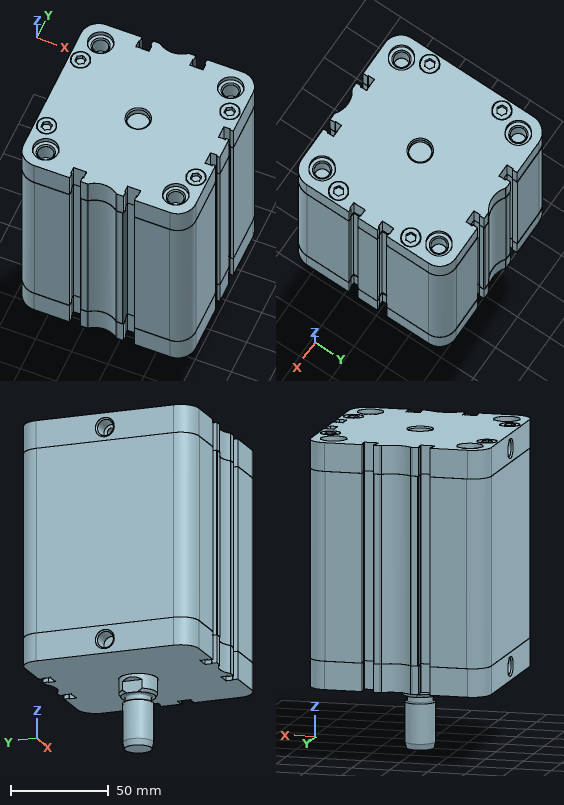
import cadquery as cq
import math

WIDTH = 95.5
BODY_HEIGHT = 128.6
CAP_HEIGHT = 15.0
BARREL_HEIGHT = BODY_HEIGHT - 2 * CAP_HEIGHT
BARREL_CORNER_RADIUS = 10.3
CAP_CORNER_RADIUS = 10.0
CAP_INSET = 0.2
HALF = WIDTH / 2

Y_SLOT_OFFSET = 15.0
Y_SLOT_MOUTH = 6.0
Y_SLOT_INNER = 7.1
Y_SLOT_LIP = 3.2
Y_SLOT_DEPTH = 6.8
X_SLOT_OFFSET = 8.8
X_SLOT_MOUTH = 5.6
X_SLOT_LIP = 1.8
BARREL_X_SLOT_INNER = 6.6
BARREL_X_SLOT_DEPTH = 5.0
CAP_X_SLOT_INNER = 7.0
CAP_X_SLOT_DEPTH = 5.5
SLOT_CHAMFER = 0.5

CHANNEL_DIAMETER = 25.0
CHANNEL_DEPTH = 2.8
CHANNEL_BEVEL_WIDTH = 0.7
CHANNEL_BEVEL_DEPTH = 0.2

MOUNT_OFFSET = 36.0
MOUNT_BORE_DIAMETER = 13.5
MOUNT_BORE_DEPTH = 2.7
MOUNT_CONE_DIAMETER = 9.8
MOUNT_HOLE_DIAMETER = 8.3
MOUNT_HOLE_DEPTH = 13.3

SCREW_X = 41.3
SCREW_Y = 22.2
SCREW_SEAT_DIAMETER = 10.3
SCREW_HEAD_DIAMETER = 9.8
SCREW_GAP_DEPTH = 1.7
HEX_ACROSS_FLATS = 5.0
HEX_DEPTH = 2.5

CENTRE_CONE_DIAMETER = 13.5
CENTRE_DIAMETER = 12.0
CENTRE_DEPTH = 4.0

PORT_CONE_DIAMETER = 10.3
PORT_DIAMETER = 8.6
PORT_DEPTH = 10.0
ROD_CAP_PORT_Z = 7.5
REAR_CAP_PORT_Z = 7.1
PORT_INNER_DIAMETER = 5.0
PORT_INNER_DEPTH = 5.0

TOTAL_LENGTH = 166.0
ROD_LENGTH = TOTAL_LENGTH - BODY_HEIGHT
COLLAR_DIAMETER = 20.0
COLLAR_LENGTH = 9.5
COLLAR_CHAMFER_LENGTH = 1.7
COLLAR_CHAMFER_DEPTH = 1.0
NECK_DIAMETER = 13.5
NECK_END = 13.1
NECK_FILLET = 0.5
THREAD_DIAMETER = 16.0
TIP_CHAMFER_LENGTH = 3.3
TIP_CHAMFER_DEPTH = 0.8
FLAT_WIDTH = 17.0
FLAT_START = 3.2
FLAT_RAMP_LENGTH = 1.5


def t_slot(mouth, inner, lip, depth, height):
    """T-slot cutter opening at y = 0 and running into +Y."""
    neck = cq.Workplane("XY").box(mouth, 2 * lip, height, centered=(True, True, False))
    chamber = cq.Workplane("XY").box(inner, depth - lip, height, centered=(True, False, False))
    return neck.union(chamber.translate((0, lip, 0)))


def both_y_sides(cutter):
    """The cutter shaped for the -Y side, together with its half-turn copy for the +Y side."""
    return cutter.union(cutter.rotate((0, 0, 0), (0, 0, 1), 180))


def round_channel(side, height):
    """Round channel cutter for the Y side at y = -side, with a bevel along both edges."""
    radius = CHANNEL_DIAMETER / 2
    floor_y = CHANNEL_DEPTH - side
    bevel_y = CHANNEL_BEVEL_DEPTH - side
    arc_x = math.sqrt(radius**2 - (bevel_y - floor_y + radius) ** 2)
    mouth_x = arc_x + CHANNEL_BEVEL_WIDTH
    outline = (
        cq.Workplane("XY")
        .moveTo(-mouth_x, -side)
        .lineTo(-arc_x, bevel_y)
        .threePointArc((0, floor_y), (arc_x, bevel_y))
        .lineTo(mouth_x, -side)
        .close()
    )
    return outline.extrude(height)


def housing_section(depth_y, height, corner_radius, x_slot_inner, x_slot_depth):
    """Rounded prism with its T-slots and round channels."""
    side = depth_y / 2
    section = cq.Workplane("XY").rect(WIDTH, depth_y).extrude(height)
    section = section.edges("|Z").fillet(corner_radius)
    section = section.cut(both_y_sides(round_channel(side, height)))

    y_slot = t_slot(Y_SLOT_MOUTH, Y_SLOT_INNER, Y_SLOT_LIP, Y_SLOT_DEPTH, height)
    x_slot = t_slot(X_SLOT_MOUTH, x_slot_inner, X_SLOT_LIP, x_slot_depth, height)
    for x in (-Y_SLOT_OFFSET, Y_SLOT_OFFSET):
        section = section.cut(both_y_sides(y_slot.translate((x, -HALF, 0))))
    for y in (-X_SLOT_OFFSET, X_SLOT_OFFSET):
        cutter = x_slot.translate((y, -HALF, 0))
        section = section.cut(cutter.rotate((0, 0, 0), (0, 0, 1), 90))
    return section


def cap_section():
    """Plain end cap blank standing on z = 0."""
    depth_y = WIDTH - 2 * CAP_INSET
    return housing_section(depth_y, CAP_HEIGHT, CAP_CORNER_RADIUS, CAP_X_SLOT_INNER, CAP_X_SLOT_DEPTH)


def countersunk_hole(cone_diameter, hole_diameter, depth):
    """Cutter along -Z from z = 0: 45 degree countersink, then a straight hole."""
    cone_radius = cone_diameter / 2
    hole_radius = hole_diameter / 2
    cone_depth = cone_radius - hole_radius
    profile = [(0, 0), (cone_radius, 0), (hole_radius, -cone_depth), (hole_radius, -depth), (0, -depth)]
    return cq.Workplane("XZ").polyline(profile).close().revolve(360, (0, 0, 0), (0, 1, 0))


def port(port_z):
    """Countersunk port cutter, entering the -X face at the given height."""
    cutter = countersunk_hole(PORT_CONE_DIAMETER, PORT_DIAMETER, PORT_DEPTH)
    cutter = cutter.rotate((0, 0, 0), (0, 1, 0), -90)
    return cutter.translate((-HALF, 0, port_z))


def make_barrel():
    barrel = housing_section(
        WIDTH, BARREL_HEIGHT, BARREL_CORNER_RADIUS, BARREL_X_SLOT_INNER, BARREL_X_SLOT_DEPTH
    )

    edge_x = Y_SLOT_OFFSET - Y_SLOT_MOUTH / 2
    profile = [(edge_x, -HALF), (edge_x - SLOT_CHAMFER, -HALF), (edge_x, SLOT_CHAMFER - HALF)]
    chamfer = cq.Workplane("XY").polyline(profile).close().extrude(BARREL_HEIGHT)
    barrel = barrel.cut(both_y_sides(chamfer)).cut(both_y_sides(chamfer.mirror("YZ")))
    return barrel.translate((0, 0, CAP_HEIGHT))


def make_rod_cap():
    cap = cap_section().cut(port(ROD_CAP_PORT_Z))
    rod_hole = cq.Workplane("XY").circle(COLLAR_DIAMETER / 2).extrude(CAP_HEIGHT)
    return cap.cut(rod_hole)


def make_rear_cap():
    cap = cap_section()
    top = cq.Workplane("XY").workplane(offset=CAP_HEIGHT)

    corners = [(x, y) for x in (-MOUNT_OFFSET, MOUNT_OFFSET) for y in (-MOUNT_OFFSET, MOUNT_OFFSET)]
    cap = cap.cut(top.pushPoints(corners).circle(MOUNT_BORE_DIAMETER / 2).extrude(-MOUNT_BORE_DEPTH))
    mount = countersunk_hole(MOUNT_CONE_DIAMETER, MOUNT_HOLE_DIAMETER, MOUNT_HOLE_DEPTH - MOUNT_BORE_DEPTH)
    for x, y in corners:
        cap = cap.cut(mount.translate((x, y, CAP_HEIGHT - MOUNT_BORE_DEPTH)))

    screws = [(x, y) for x in (-SCREW_X, SCREW_X) for y in (-SCREW_Y, SCREW_Y)]
    ring = top.pushPoints(screws).circle(SCREW_SEAT_DIAMETER / 2).circle(SCREW_HEAD_DIAMETER / 2)
    cap = cap.cut(ring.extrude(-SCREW_GAP_DEPTH))
    hex_diameter = HEX_ACROSS_FLATS / math.cos(math.pi / 6)
    hexagon = cq.Workplane("XY").polygon(6, hex_diameter).extrude(-HEX_DEPTH)
    hexagon = hexagon.rotate((0, 0, 0), (0, 0, 1), 90)
    for x, y in screws:
        cap = cap.cut(hexagon.translate((x, y, CAP_HEIGHT)))

    centre_hole = countersunk_hole(CENTRE_CONE_DIAMETER, CENTRE_DIAMETER, CENTRE_DEPTH)
    cap = cap.cut(centre_hole.translate((0, 0, CAP_HEIGHT)))

    cap = cap.cut(port(REAR_CAP_PORT_Z))
    inner_port = cq.Workplane("YZ").circle(PORT_INNER_DIAMETER / 2).extrude(PORT_INNER_DEPTH)
    cap = cap.cut(inner_port.translate((PORT_DEPTH - HALF, 0, REAR_CAP_PORT_Z)))
    return cap.translate((0, 0, BODY_HEIGHT - CAP_HEIGHT))


def make_rod():
    collar = COLLAR_DIAMETER / 2
    neck = NECK_DIAMETER / 2
    thread = THREAD_DIAMETER / 2
    neck_edge = neck + NECK_FILLET
    profile = (
        cq.Workplane("XZ")
        .moveTo(0, CAP_HEIGHT)
        .lineTo(collar, CAP_HEIGHT)
        .lineTo(collar, COLLAR_CHAMFER_LENGTH - COLLAR_LENGTH)
        .lineTo(collar - COLLAR_CHAMFER_DEPTH, -COLLAR_LENGTH)
        .lineTo(neck_edge, -COLLAR_LENGTH)
        .radiusArc((neck, -COLLAR_LENGTH - NECK_FILLET), -NECK_FILLET)
        .lineTo(neck, NECK_FILLET - NECK_END)
        .radiusArc((neck_edge, -NECK_END), -NECK_FILLET)
        .lineTo(thread, -NECK_END)
        .lineTo(thread, TIP_CHAMFER_LENGTH - ROD_LENGTH)
        .lineTo(thread - TIP_CHAMFER_DEPTH, -ROD_LENGTH)
        .lineTo(0, -ROD_LENGTH)
        .close()
    )
    rod = profile.revolve(360, (0, 0, 0), (0, 1, 0))

    flat = FLAT_WIDTH / 2
    flat_profile = [
        (flat, -COLLAR_LENGTH),
        (flat, -FLAT_START),
        (collar, FLAT_RAMP_LENGTH - FLAT_START),
        (collar, -COLLAR_LENGTH),
    ]
    flat_cut = cq.Workplane("XZ").polyline(flat_profile).close().extrude(collar, both=True)
    return rod.cut(flat_cut).cut(flat_cut.mirror("YZ"))


barrel = make_barrel()
rod_cap = make_rod_cap()
rear_cap = make_rear_cap()
piston_rod = make_rod()

bodies = [barrel, rod_cap, rear_cap, piston_rod]
result = cq.Compound.makeCompound([body.solids().val() for body in bodies])